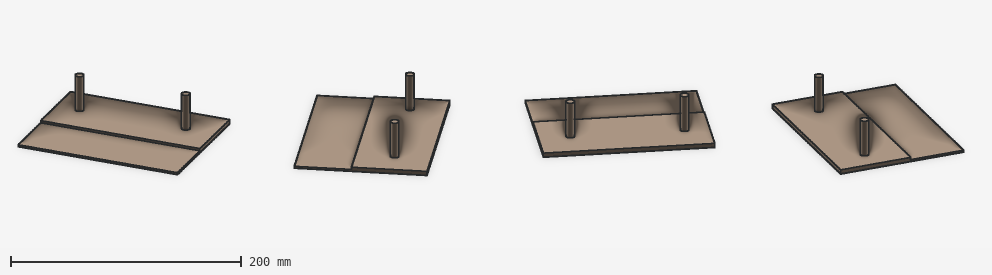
import cadquery as cq

length = 150.0
width = 116.1
ledge_width = 50.0
ledge_thickness = 2.0
plate_thickness = 4.0

total_height = 37.0
post_diameter = 7.5
post_spacing = 100.0
first_post_from_left = 22.0
posts_from_back = 32.0


def make_plate():
    """Plate with a thin ledge along the front (-Y) edge."""
    ledge = cq.Workplane("XY").box(length, width, ledge_thickness, centered=False)
    thick_part = (
        cq.Workplane("XY")
        .box(length, width - ledge_width, plate_thickness, centered=False)
        .translate((0, ledge_width, 0))
    )
    return ledge.union(thick_part)


def make_posts():
    """Posts running from the underside of the plate to the full height."""
    post_y = width - posts_from_back
    centers = [
        (first_post_from_left, post_y),
        (first_post_from_left + post_spacing, post_y),
    ]
    return cq.Workplane("XY").pushPoints(centers).circle(post_diameter / 2).extrude(total_height)


result = make_plate().union(make_posts())